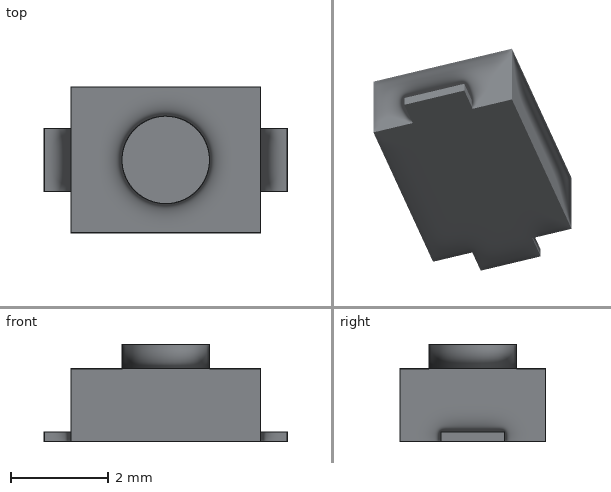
import cadquery as cq

body_length = 3.9
body_width = 3.0
body_height = 1.5

button_diameter = 1.8
button_height = 0.5

terminal_span = 5.0
terminal_width = 1.3
terminal_thickness = 0.2


def base_block(length, width, height):
    """Block centred in X and Y, standing on Z = 0."""
    return cq.Workplane("XY").box(length, width, height, centered=(True, True, False))


body = base_block(body_length, body_width, body_height)

terminals = base_block(terminal_span, terminal_width, terminal_thickness)

button = (
    cq.Workplane("XY")
    .workplane(offset=body_height)
    .circle(button_diameter / 2)
    .extrude(button_height)
)

result = body.union(terminals).union(button)